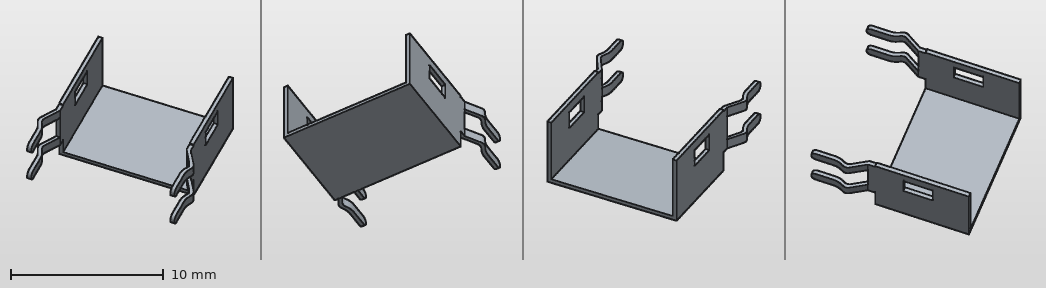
import cadquery as cq

total_width = 11.0
total_length = 10.87
height = 4.8
body_width = 9.57
body_length = 6.57
sheet = 0.3
half_width = body_width / 2
back_y = total_length / 2
front_y = back_y - body_length
tip_y = -total_length / 2

window_length = 2.06
window_height = 1.24
window_back_gap = 2.53
window_top_gap = 0.73

tab_length = 0.5
prong_height = 0.73
prong_pitch = 2.54
prong_top_gap = 0.09
upper_prong_z = height - prong_top_gap - prong_height
lower_prong_z = upper_prong_z - prong_pitch

bulge_offset = (total_width - body_width) / 2
bulge_start = (0.63, 1.52)
bulge_peak = (bulge_offset, 1.78)
bulge_end = (0.65, 2.02)
straight_start = (0.45, 2.71)


def box(x0, x1, y0, y1, z0, z1):
    """Box between two opposite corners."""
    return cq.Workplane("XY").box(x1 - x0, y1 - y0, z1 - z0, centered=False).translate((x0, y0, z0))


def channel():
    outer = box(-half_width, half_width, front_y, back_y, 0, height)
    inner_half = half_width - sheet
    return outer.cut(box(-inner_half, inner_half, front_y, back_y, sheet, height))


def windows():
    y1 = back_y - window_back_gap
    z1 = height - window_top_gap
    return box(-half_width, half_width, y1 - window_length, y1, z1 - window_height, z1)


def tab():
    """Flat extension of the +X wall."""
    tab_top = upper_prong_z + prong_height
    return box(half_width - sheet, half_width, front_y - tab_length, front_y, lower_prong_z, tab_top)


def prong(bottom_z):
    """Bent strip on the +X side; its inner edge is the outer edge moved in by the sheet thickness."""
    def outer(bend):
        return (half_width + bend[0], front_y - bend[1])

    def inner(bend):
        return (half_width + bend[0] - sheet, front_y - bend[1])

    root = (0, tab_length)
    tip = (straight_start[0], front_y - tip_y)
    run = straight_start[1] - bulge_end[1]
    inward_step = bulge_end[0] - straight_start[0]
    bend_middle = (straight_start[0] + inward_step / 4, straight_start[1] - run / 2)
    strip = (
        cq.Workplane("XY")
        .workplane(offset=bottom_z)
        .moveTo(*outer(root))
        .lineTo(*outer(bulge_start))
        .threePointArc(outer(bulge_peak), outer(bulge_end))
        .threePointArc(outer(bend_middle), outer(straight_start))
        .lineTo(*outer(tip))
        .lineTo(*inner(tip))
        .lineTo(*inner(straight_start))
        .threePointArc(inner(bend_middle), inner(bulge_end))
        .threePointArc(inner(bulge_peak), inner(bulge_start))
        .lineTo(*inner(root))
        .close()
        .extrude(prong_height)
    )
    tip_radius = prong_height / 2
    root_y = front_y - tab_length
    side_outline = (
        cq.Workplane("YZ")
        .moveTo(root_y, bottom_z)
        .lineTo(tip_y + tip_radius, bottom_z)
        .threePointArc((tip_y, bottom_z + tip_radius), (tip_y + tip_radius, bottom_z + prong_height))
        .lineTo(root_y, bottom_z + prong_height)
        .close()
        .extrude(total_width)
    )
    return strip.intersect(side_outline)


right_contacts = tab()
for prong_z in (upper_prong_z, lower_prong_z):
    right_contacts = right_contacts.union(prong(prong_z))

result = channel().cut(windows()).union(right_contacts).union(right_contacts.mirror("YZ"))